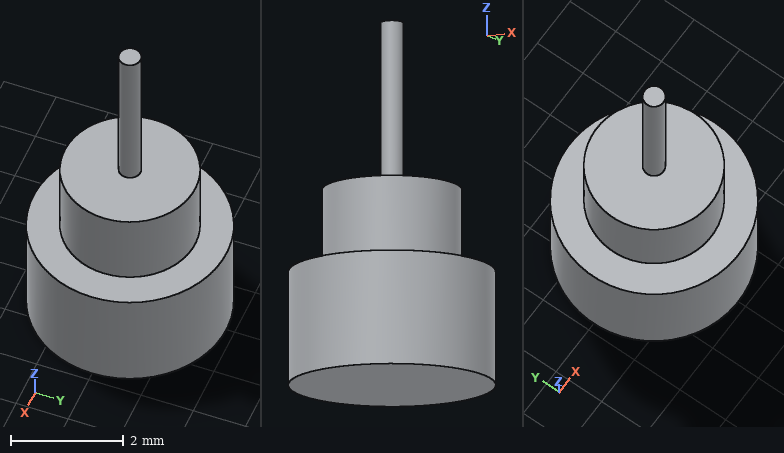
import cadquery as cq

total_height = 6.6
base_diameter = 3.7
base_height = 2.065
collar_diameter = 2.5
collar_height = 1.49
pin_diameter = 0.41
pin_height = total_height - base_height - collar_height


def add_step(body, diameter, height):
    """Stack a coaxial cylinder on the top face of the body."""
    return body.faces(">Z").workplane().circle(diameter / 2).extrude(height)


base = cq.Workplane("XY").circle(base_diameter / 2).extrude(base_height)

base_and_collar = add_step(base, collar_diameter, collar_height)
result = add_step(base_and_collar, pin_diameter, pin_height)